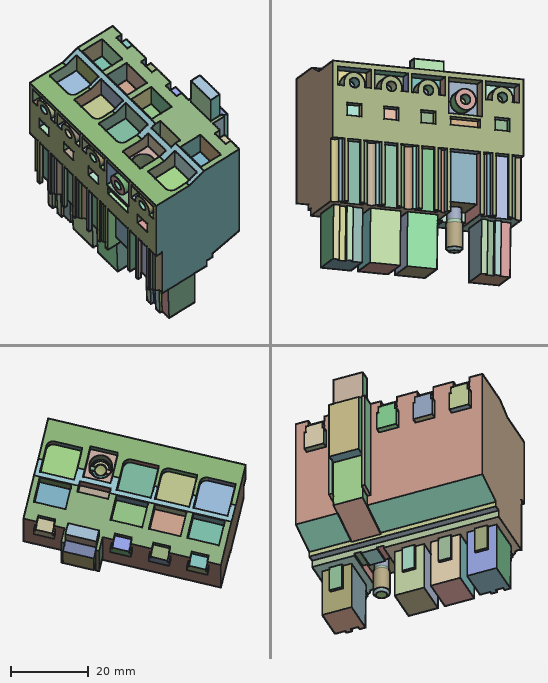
import cadquery as cq


CELL_SPAN = 40.6
ROW_SHIFT = 0.05
CELL_COUNT = 5
PITCH = CELL_SPAN / (CELL_COUNT - 1)
cell_x = [ROW_SHIFT - CELL_SPAN / 2 + i * PITCH for i in range(CELL_COUNT)]
SCREW_CELL = 3
screw_x = cell_x[SCREW_CELL]
pole_cells = [i for i in range(CELL_COUNT) if i != SCREW_CELL]

HOUSING_W = 52.3
HOUSING_D = 27.35
FRONT_H = 37.15
BACK_H = 39.4
SLOPE_FRONT_Y = 10.85
SLOPE_BACK_Y = 15.75
FOOT_D = 16.7
STEP_D = 18.55
STEP_Z = 2.05
UNDER_FRONT_Z = 3.55
UNDER_BACK_Z = 6.1

POCKET_FLOOR_Z = 32.5
FRONT_POCKET_W = 9.1
FRONT_POCKET_Y = (5.5, 14.35)
FRONT_POCKET_R = 1.9
BACK_POCKET_W = 8.45
BACK_POCKET_Y = (15.9, 22.5)
LATCH_W = 8.2
LATCH_SLOT_Y = (14.35, 17.3)
SCREW_POCKET_W = 7.3
SCREW_POCKET_Y = (4.55, 12.9)
SCREW_POCKET_Z = 32.9

PORT_W = 9.1
PORT_D = 3.6
PORT_TOP_Z = 35.7
POLE_PORT_Z = 30.8
POLE_BOSS_Z = 31.8
SCREW_PORT_Z = 26.2
SCREW_BOSS_Z = 30.3
BOSS_R = 2.8
BOSS_HOLE_R = 1.3
WINDOW_D = 2.1
WINDOW_W = 4.05
WINDOW_Z = (22.9, 26.3)
SCREW_WINDOW_Z = (23.1, 25.3)

GROOVE_TOP_Z = 16.7
RIB_INNER_X = 1.75
RIB_OUTER_X = 2.7
SLOT_NECK_D = 1.0
SLOT_D = 2.2
SLOT_CAVITY_W = 6.0
RIB_STEP_D = 0.5
BEVEL_END_X = 3.9
BEVEL_END_D = 1.2
FLUTE_D = 2.1
RECESS_D = 2.6
RECESS_BOTTOM_Z = 3.3
SCREW_BAY_D = 11.25
BAY_ROOF_Z = 0.7
TONGUE_W = 4.5
TONGUE_Z = 0.25

CATCH_W = 4.5
CATCH_BACK_Y = 28.9
CATCH_NOTCH_Y = 25.7
CATCH_Z = (29.2, 36.35)
CATCH_WING_W = 5.45
CATCH_WING_Z = 34.55

CHEEK_W = 0.95
CHEEK_BACK_Y = 31.1
CHEEK_FRONT_Z = 9.2
CHEEK_BACK_Z = 9.8
LATCH_TOP_Z = 48.05
LATCH_BACK_Y = 30.35
LATCH_BOTTOM_Z = 6.5
LATCH_TIP_Z = 3.1
HOOK_BACK_Y = 33.05
HOOK_Z = (20.6, 37.8)

SCREW_Y = 8.45
WELL_R = 3.0
HEAD_R = 2.8
HEAD_FLAT_R = 2.25
HEAD_CHAMFER_H = 0.6
HEAD_TOP_Z = 28.1
HEAD_BOTTOM_Z = 25.0
SHANK_R = 1.9
SHANK_END_Z = 0.25
THREAD_R = 2.2
THREAD_TOP_Z = -0.75
THREAD_END_Z = -7.45
TIP_R = 1.45
TIP_Z = -8.2
DRIVE_SLOT_W = 1.2
DRIVE_SLOT_D = 0.6
DIMPLE_R = 1.5
DIMPLE_WALL_D = 0.95
DIMPLE_D = 1.3

LEG_W = 8.25
LEG_L = 14.4
LEG_FRONT_Y = 4.4
LEG_FRONT_TAPER = 0.45
LEG_BACK_Y = 14.0
KEYED_CELLS = (0, 4)
KEY_GROOVE_X = (-2.45, -0.45)
KEY_GROOVE_D = 0.95
KEY_STEP_X = 1.25
KEY_STEP_D = 0.75
LEG_RIB_W = 3.5
LEG_RIB_D = 0.7
LEG_RIB_L = 7.5

OVERCUT = 0.6


def block(center_x, width, y_range, z_range):
    """Box centred on center_x in X, between the given Y and Z limits."""
    return cq.Workplane("XY").box(
        width, y_range[1] - y_range[0], z_range[1] - z_range[0], centered=(True, False, False)
    ).translate((center_x, y_range[0], z_range[0]))


def side_prism(center_x, width, yz_points):
    """Prism along X from an outline of (y, z) points."""
    outline = cq.Workplane("YZ").polyline(yz_points).close()
    return outline.extrude(width / 2, both=True).translate((center_x, 0, 0))


def front_cylinder(center_x, center_z, radius):
    """Cylinder along Y, from the front face to the back of the front ports."""
    return cq.Workplane("XZ").center(center_x, center_z).circle(radius).extrude(-PORT_D)


def housing_body():
    return side_prism(0, HOUSING_W, [
        (0, 0),
        (FOOT_D, 0),
        (FOOT_D, STEP_Z),
        (STEP_D, STEP_Z),
        (STEP_D, UNDER_FRONT_Z),
        (HOUSING_D, UNDER_BACK_Z),
        (HOUSING_D, BACK_H),
        (SLOPE_BACK_Y, BACK_H),
        (SLOPE_FRONT_Y, FRONT_H),
        (0, FRONT_H),
    ])


def top_pockets(x):
    """Two pockets of a pole; the front one is rounded at its front right corner."""
    heights = (POCKET_FLOOR_Z, BACK_H + OVERCUT)
    front_pocket = block(x, FRONT_POCKET_W, FRONT_POCKET_Y, heights)
    front_pocket = front_pocket.edges("|Z").edges(">X").edges("<Y").fillet(FRONT_POCKET_R)
    return front_pocket.union(block(x, BACK_POCKET_W, BACK_POCKET_Y, heights))


def pole_port(x):
    """Front recess that leaves an arched boss, with the boss hole and the window below."""
    port = block(x, PORT_W, (0, PORT_D), (POLE_PORT_Z, PORT_TOP_Z))
    arch_leg = block(x, 2 * BOSS_R, (0, PORT_D), (POLE_PORT_Z, POLE_BOSS_Z))
    port = port.cut(front_cylinder(x, POLE_BOSS_Z, BOSS_R)).cut(arch_leg)
    port = port.union(front_cylinder(x, POLE_BOSS_Z, BOSS_HOLE_R))
    return port.union(block(x, WINDOW_W, (0, WINDOW_D), WINDOW_Z))


def flute(x, direction, whole):
    """Bevel and round flute outside one rib; whole flutes run past the cell boundary."""
    boundary = PITCH / 2
    far_end = 2 * boundary - BEVEL_END_X
    curve_mid = (BEVEL_END_X + boundary) / 2
    half_chord = boundary - BEVEL_END_X
    sagitta = FLUTE_D - BEVEL_END_D
    radius = (half_chord**2 + sagitta**2) / (2 * sagitta)
    curve_mid_d = FLUTE_D - radius + (radius**2 - (boundary - curve_mid) ** 2) ** 0.5

    outline = (
        cq.Workplane("XY")
        .moveTo(x + direction * RIB_OUTER_X, 0)
        .lineTo(x + direction * RIB_OUTER_X, RIB_STEP_D)
        .lineTo(x + direction * BEVEL_END_X, BEVEL_END_D)
    )
    if whole:
        outline = outline.threePointArc(
            (x + direction * boundary, FLUTE_D), (x + direction * far_end, BEVEL_END_D)
        ).lineTo(x + direction * far_end, 0)
    else:
        outline = outline.threePointArc(
            (x + direction * curve_mid, curve_mid_d), (x + direction * boundary, FLUTE_D)
        ).lineTo(x + direction * boundary, 0)
    return outline.close().extrude(GROOVE_TOP_Z)


def pole_grooves(cell):
    """T-shaped slot between the ribs and a flute on each side, half a flute next to the screw cell."""
    x = cell_x[cell]
    heights = (0, GROOVE_TOP_Z)
    grooves = block(x, 2 * RIB_INNER_X, (0, SLOT_NECK_D), heights)
    grooves = grooves.union(block(x, SLOT_CAVITY_W, (SLOT_NECK_D, SLOT_D), heights))
    for direction in (-1, 1):
        grooves = grooves.union(flute(x, direction, cell + direction != SCREW_CELL))
    return grooves


def add_catch(housing, x):
    """Winged catch on the back face, flush with a notch in the top back edge."""
    housing = housing.cut(block(x, CATCH_W, (CATCH_NOTCH_Y, HOUSING_D), (CATCH_Z[1], BACK_H)))
    catch_y = (HOUSING_D, CATCH_BACK_Y)
    housing = housing.union(block(x, CATCH_W, catch_y, CATCH_Z))
    return housing.union(block(x, CATCH_WING_W, catch_y, (CATCH_Z[0], CATCH_WING_Z)))


def cut_screw_cell(housing):
    housing = housing.cut(block(screw_x, SCREW_POCKET_W, SCREW_POCKET_Y, (SCREW_POCKET_Z, BACK_H)))
    housing = housing.cut(block(screw_x, LATCH_W, LATCH_SLOT_Y, (POCKET_FLOOR_Z, BACK_H)))
    well = cq.Workplane("XY", origin=(screw_x, SCREW_Y, HEAD_BOTTOM_Z)).circle(WELL_R)
    housing = housing.cut(well.extrude(SCREW_POCKET_Z - HEAD_BOTTOM_Z))
    shank_hole = cq.Workplane("XY", origin=(screw_x, SCREW_Y, 0)).circle(SHANK_R)
    housing = housing.cut(shank_hole.extrude(HEAD_BOTTOM_Z))

    port = block(screw_x, PORT_W, (0, PORT_D), (SCREW_PORT_Z, PORT_TOP_Z))
    port = port.cut(front_cylinder(screw_x, SCREW_BOSS_Z, BOSS_R))
    housing = housing.cut(port).cut(front_cylinder(screw_x, SCREW_BOSS_Z, BOSS_HOLE_R))
    housing = housing.cut(block(screw_x, LATCH_W, (0, WINDOW_D), SCREW_WINDOW_Z))
    housing = housing.cut(block(screw_x, LATCH_W, (0, RECESS_D), (0, GROOVE_TOP_Z)))

    housing = housing.cut(block(screw_x, LATCH_W, (0, SCREW_BAY_D), (0, RECESS_BOTTOM_Z)))
    behind_screw = (SCREW_BAY_D, FOOT_D)
    relief = block(screw_x, LATCH_W, behind_screw, (0, BAY_ROOF_Z))
    relief = relief.cut(block(screw_x, TONGUE_W, behind_screw, (TONGUE_Z, BAY_ROOF_Z)))
    return housing.cut(relief)


def add_latch_cheeks(housing):
    for direction in (-1, 1):
        cheek_x = screw_x + direction * (LATCH_W + CHEEK_W) / 2
        housing = housing.union(side_prism(cheek_x, CHEEK_W, [
            (HOUSING_D, CHEEK_FRONT_Z),
            (CHEEK_BACK_Y, CHEEK_BACK_Z),
            (CHEEK_BACK_Y, BACK_H),
            (HOUSING_D, BACK_H),
        ]))
    return housing


def make_housing():
    housing = housing_body()
    for cell in pole_cells:
        x = cell_x[cell]
        housing = housing.cut(top_pockets(x)).cut(pole_port(x)).cut(pole_grooves(cell))
        housing = add_catch(housing, x)
    return add_latch_cheeks(cut_screw_cell(housing))


def make_latch():
    """Upright bar with a hook on its back and a foot that follows the sloped underside."""
    return side_prism(screw_x, LATCH_W, [
        (HOUSING_D, LATCH_TOP_Z),
        (LATCH_BACK_Y, LATCH_TOP_Z),
        (LATCH_BACK_Y, BACK_H),
        (HOOK_BACK_Y, HOOK_Z[1]),
        (HOOK_BACK_Y, HOOK_Z[0]),
        (LATCH_BACK_Y, HOOK_Z[0]),
        (LATCH_BACK_Y, LATCH_BOTTOM_Z),
        (STEP_D, LATCH_TIP_Z),
        (STEP_D, UNDER_FRONT_Z),
        (HOUSING_D, UNDER_BACK_Z),
    ])


def make_screw():
    """Turned screw with a straight slot and a cone-bottomed round recess in its head."""
    half_section = [
        (0, HEAD_TOP_Z - DIMPLE_D),
        (DIMPLE_R, HEAD_TOP_Z - DIMPLE_WALL_D),
        (DIMPLE_R, HEAD_TOP_Z),
        (HEAD_FLAT_R, HEAD_TOP_Z),
        (HEAD_R, HEAD_TOP_Z - HEAD_CHAMFER_H),
        (HEAD_R, HEAD_BOTTOM_Z),
        (SHANK_R, HEAD_BOTTOM_Z),
        (SHANK_R, SHANK_END_Z),
        (THREAD_R, THREAD_TOP_Z),
        (THREAD_R, THREAD_END_Z),
        (TIP_R, TIP_Z),
        (0, TIP_Z),
    ]
    screw = cq.Workplane("XZ").polyline(half_section).close().revolve(360, (0, 0), (0, 1))
    slot_y = (-DRIVE_SLOT_W / 2, DRIVE_SLOT_W / 2)
    screw = screw.cut(block(0, 2 * HEAD_R, slot_y, (HEAD_TOP_Z - DRIVE_SLOT_D, HEAD_TOP_Z)))
    return screw.translate((screw_x, SCREW_Y, 0))


def leg_slice(x_start, x_end, setback):
    """Full-length slice of a leg whose tapered front face is set back by the given depth."""
    return side_prism((x_start + x_end) / 2, x_end - x_start, [
        (LEG_FRONT_Y + setback, 0),
        (LEG_BACK_Y, 0),
        (LEG_BACK_Y, -LEG_L),
        (LEG_FRONT_Y + LEG_FRONT_TAPER + setback, -LEG_L),
    ])


def make_leg(keyed):
    """Plug leg with a short rib on its back, centred on x = 0."""
    left = -LEG_W / 2
    right = LEG_W / 2
    if keyed:
        leg = leg_slice(left, KEY_GROOVE_X[0], 0)
        leg = leg.union(leg_slice(KEY_GROOVE_X[0], KEY_GROOVE_X[1], KEY_GROOVE_D))
        leg = leg.union(leg_slice(KEY_GROOVE_X[1], KEY_STEP_X, 0))
        leg = leg.union(leg_slice(KEY_STEP_X, right, KEY_STEP_D))
    else:
        leg = leg_slice(left, right, 0)
    return leg.union(block(0, LEG_RIB_W, (LEG_BACK_Y, LEG_BACK_Y + LEG_RIB_D), (-LEG_RIB_L, 0)))


housing = make_housing()
latch = make_latch()
screw = make_screw()
legs = [make_leg(cell in KEYED_CELLS).translate((cell_x[cell], 0, 0)) for cell in pole_cells]

result = cq.Compound.makeCompound([
    housing.val(),
    latch.val(),
    screw.val(),
    *[leg.val() for leg in legs],
])